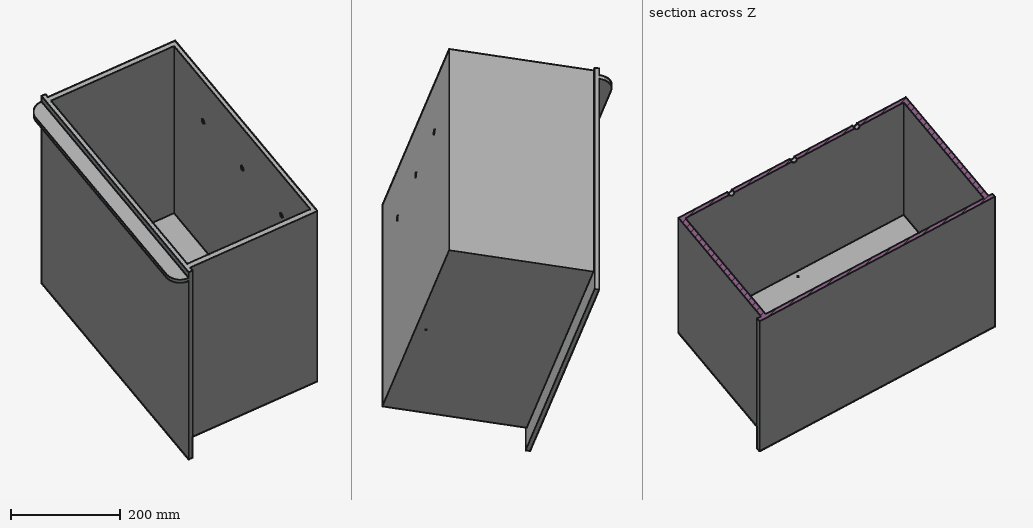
import cadquery as cq

panel_width = 516.0
panel_height = 499.0
panel_thickness = 9.0

overall_depth = 310.0
handle_depth = 30.0
box_width = 499.0
box_height = 454.0
side_wall = 11.0
back_wall = 9.0
floor_thickness = 9.0
box_back = overall_depth - handle_depth
inside_depth = box_back - back_wall - panel_thickness

handle_thickness = 9.0
handle_drop = 15.0

back_hole_diameter = 10.0
back_hole_spacing = 137.0
back_hole_drop = 108.5
floor_hole_diameter = 2.5
floor_hole_from_back = 19.0


def block(width, depth, height, front, bottom):
    """Block centred on X, starting at the given front and bottom."""
    return (
        cq.Workplane("XY")
        .box(width, depth, height, centered=(True, False, False))
        .translate((0, front, bottom))
    )


def make_box():
    box_bottom = panel_height - box_height
    body = block(box_width, box_back, box_height, 0, box_bottom)
    inside = block(
        box_width - 2 * side_wall,
        inside_depth,
        box_height - floor_thickness,
        panel_thickness,
        box_bottom + floor_thickness,
    )
    panel = block(panel_width, panel_thickness, panel_height, 0, 0)
    return body.union(panel).cut(inside)


def make_handle():
    """Ledge whose two front corners are quarter circles of its full depth."""
    bottom = panel_height - handle_drop - handle_thickness
    half_width = panel_width / 2
    straight_half = half_width - handle_depth
    return (
        cq.Workplane("XY", origin=(0, 0, bottom))
        .moveTo(half_width, 0)
        .lineTo(-half_width, 0)
        .radiusArc((-straight_half, -handle_depth), -handle_depth)
        .lineTo(straight_half, -handle_depth)
        .radiusArc((half_width, 0), -handle_depth)
        .close()
        .extrude(handle_thickness)
    )


def make_back_holes():
    """Row of three holes through the back wall."""
    return (
        cq.Workplane("XZ", origin=(0, box_back, panel_height - back_hole_drop))
        .rarray(back_hole_spacing, 5, 3, 1)
        .circle(back_hole_diameter / 2)
        .extrude(back_wall)
    )


def make_floor_hole():
    """Small hole through the floor near the back wall."""
    return (
        cq.Workplane("XY", origin=(0, box_back - floor_hole_from_back, panel_height - box_height))
        .circle(floor_hole_diameter / 2)
        .extrude(floor_thickness)
    )


result = make_box().union(make_handle()).cut(make_back_holes()).cut(make_floor_hole())